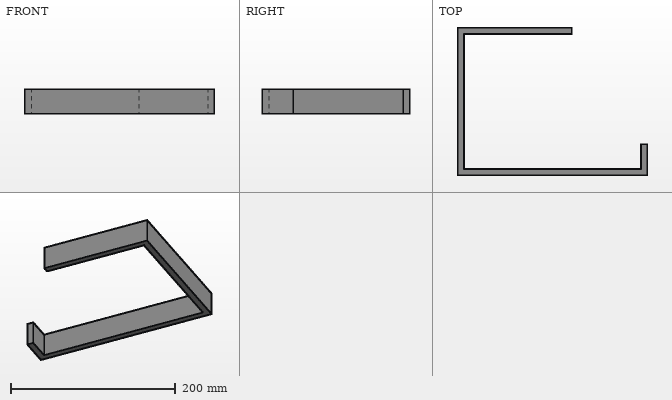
import cadquery as cq

length = 231.0
width = 180.0
height = 30.0
wall = 8.0

back_length = 139.0
return_length = 38.0

outline = [
    (0, 0),
    (length, 0),
    (length, return_length),
    (length - wall, return_length),
    (length - wall, wall),
    (wall, wall),
    (wall, width - wall),
    (back_length, width - wall),
    (back_length, width),
    (0, width),
]

result = cq.Workplane("XY").polyline(outline).close().extrude(height)